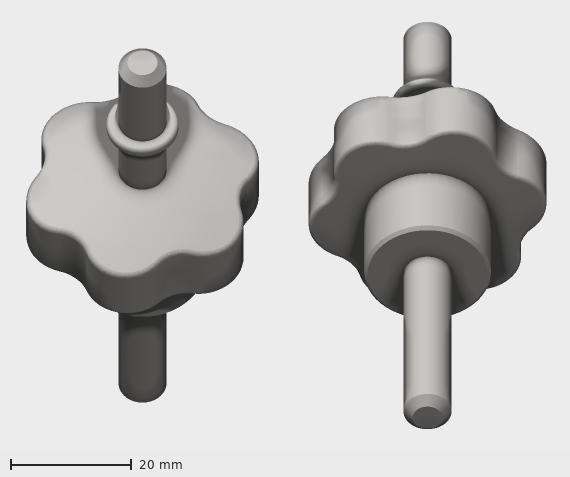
import cadquery as cq
import math

shaft_length = 93.95
shaft_diameter = 8.0
shaft_chamfer = 1.5

hub_diameter = 21.0
hub_bottom_z = 35.0
hub_top_z = 48.4
hub_chamfer = 0.6

lobe_count = 6
knob_diameter = 39.9
lobe_radius = 7.2
hollow_radius = 6.4
knob_bottom_z = hub_top_z
underside_edge_z = 49.2
dome_top_z = 63.1
dome_radius = 70.5
knob_top_fillet = 0.9
knob_bottom_fillet = 0.75

ring_diameter = 12.0
ring_height = 2.0
ring_bottom_z = 75.0
ring_fillet = 0.75


def polar(radius, angle_degrees):
    """Point in the XY plane at a radius and an angle from +X."""
    angle = math.radians(angle_degrees)
    return (radius * math.cos(angle), radius * math.sin(angle))


def make_shaft():
    """Plain round shaft with a chamfer on both ends."""
    shaft = cq.Workplane("XY").circle(shaft_diameter / 2).extrude(shaft_length)
    return shaft.faces("<Z or >Z").chamfer(shaft_chamfer)


def make_hub():
    """Round hub with a chamfered lower rim, bored for the shaft."""
    hub = cq.Workplane("XY").workplane(offset=hub_bottom_z).circle(hub_diameter / 2)
    hub = hub.extrude(hub_top_z - hub_bottom_z).faces("<Z").edges().chamfer(hub_chamfer)
    return hub.cut(shaft_bore())


def make_ring():
    """Ring with rounded outer rims, bored for the shaft."""
    ring = cq.Workplane("XY").workplane(offset=ring_bottom_z).circle(ring_diameter / 2)
    ring = ring.extrude(ring_height).edges("%CIRCLE").fillet(ring_fillet)
    return ring.cut(shaft_bore())


def shaft_bore():
    """Cutter for the hole that the shaft fills."""
    return cq.Workplane("XY").circle(shaft_diameter / 2).extrude(shaft_length)


def star_outline(workplane):
    """Closed outline of lobe arcs and hollow arcs, tangent where they meet."""
    lobe_step = 360 / lobe_count
    half_step = math.radians(lobe_step / 2)
    lobe_centre = knob_diameter / 2 - lobe_radius

    side_offset = lobe_centre * math.sin(half_step)
    centre_gap = lobe_radius + hollow_radius
    hollow_centre = lobe_centre * math.cos(half_step) + math.sqrt(centre_gap**2 - side_offset**2)
    hollow_depth_radius = hollow_centre - hollow_radius

    tangent_side = side_offset * hollow_radius / centre_gap
    tangent_out = hollow_centre - math.sqrt(hollow_radius**2 - tangent_side**2)
    tangent_radius = math.hypot(tangent_side, tangent_out)
    tangent_angle = lobe_step / 2 - math.degrees(math.atan2(tangent_side, tangent_out))

    outline = workplane.moveTo(*polar(tangent_radius, -tangent_angle))
    for lobe in range(lobe_count):
        middle = lobe * lobe_step
        outline = outline.threePointArc(
            polar(knob_diameter / 2, middle),
            polar(tangent_radius, middle + tangent_angle),
        )
        outline = outline.threePointArc(
            polar(hollow_depth_radius, middle + lobe_step / 2),
            polar(tangent_radius, middle + lobe_step - tangent_angle),
        )
    return outline.close()


def knob_envelope():
    """Round body with a domed top and a conical underside around the flat hub seat."""
    rim_radius = knob_diameter / 2 + knob_top_fillet
    dome_centre_z = dome_top_z - dome_radius

    def dome_z(radius):
        return dome_centre_z + math.sqrt(dome_radius**2 - radius**2)

    seat_radius = hub_diameter / 2
    cone_slope = (underside_edge_z - knob_bottom_z) / (knob_diameter / 2 - seat_radius)
    rim_bottom_z = knob_bottom_z + cone_slope * (rim_radius - seat_radius)
    profile = (
        cq.Workplane("XZ")
        .moveTo(0, knob_bottom_z)
        .lineTo(seat_radius, knob_bottom_z)
        .lineTo(rim_radius, rim_bottom_z)
        .lineTo(rim_radius, dome_z(rim_radius))
        .threePointArc((rim_radius / 2, dome_z(rim_radius / 2)), (0, dome_top_z))
        .close()
    )
    return profile.revolve(360, (0, 0, 0), (0, 1, 0))


def make_knob():
    """Six-lobed knob with rounded upper and lower rims, bored for the shaft."""
    column = star_outline(cq.Workplane("XY")).extrude(shaft_length)
    knob = column.intersect(knob_envelope())
    knob = knob.faces(">Z").edges().fillet(knob_top_fillet)
    knob = knob.faces("%CONE").edges("not %CIRCLE").fillet(knob_bottom_fillet)
    return knob.cut(shaft_bore())


shaft = make_shaft()
hub = make_hub()
knob = make_knob()
ring = make_ring()

result = cq.Compound.makeCompound([shaft.val(), hub.val(), knob.val(), ring.val()])